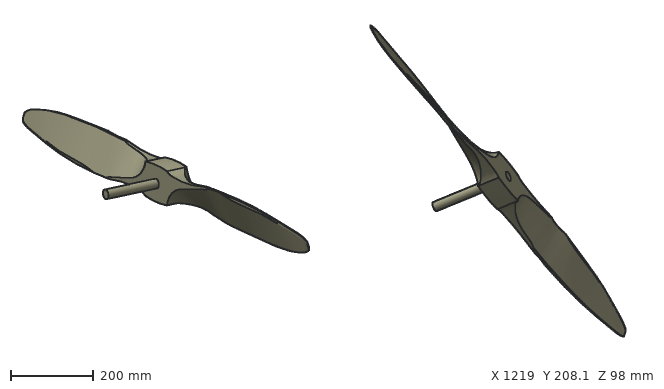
import cadquery as cq

span = 1219.0
hub_depth = 59.0
half_hub_depth = hub_depth / 2
shaft_reach = 149.0
shaft_diameter = 24.0

hub_half_width = 46.0
hub_side_height = 44.0
hub_crown_height = 48.0

tip = span / 2
twist_end = 204.0
wedge_reach = 49.0

root_station = (hub_half_width, hub_side_height, -hub_side_height, half_hub_depth,
                hub_depth, 2 * hub_side_height)
twist_station = (twist_end, 45.0, -45.0, 25.0, 7.0, 5.0)
inner_stations = [
    root_station,
    (61.0, 38.0, -38.0, half_hub_depth, 45.0, 48.0),
    (80.0, 35.0, -35.0, half_hub_depth, 34.0, 28.0),
    (110.0, 34.0, -34.0, half_hub_depth, 22.0, 16.0),
    (152.0, 37.0, -37.0, 28.0, 13.0, 9.0),
    twist_station,
]
outer_stations = [
    twist_station,
    (317.0, 49.0, -48.0, 23.0, 7.0, 5.0),
    (390.0, 48.0, -45.0, 20.0, 6.0, 5.0),
    (488.0, 44.0, -35.0, 13.0, 4.0, 4.0),
    (561.0, 32.0, -24.0, 7.0, 3.0, 3.0),
    (597.0, 20.0, -16.0, 5.0, 2.0, 2.0),
    (tip, 11.0, -10.0, 4.0, 2.0, 2.0),
]


def box_stretch(stations):
    """Uncut blade stretch: its front outline crossed with its outline from above."""
    top_edge = [(-distance, top) for distance, top, *_ in stations]
    bottom_edge = [(-distance, bottom) for distance, _, bottom, *_ in reversed(stations)]
    back_edge = [(-station[0], station[3]) for station in stations]
    front_edge = [(-station[0], -station[3]) for station in reversed(stations)]

    def outline(plane, start, first_edge, second_edge):
        return (
            cq.Workplane(plane, origin=start)
            .moveTo(*first_edge[0])
            .spline(first_edge[1:], includeCurrent=True)
            .lineTo(*second_edge[0])
            .spline(second_edge[1:], includeCurrent=True)
            .close()
        )

    front_prism = outline("XZ", (0, hub_depth, 0), top_edge, bottom_edge).extrude(2 * hub_depth)
    plan_start = (0, 0, -2 * hub_crown_height)
    plan_prism = outline("XY", plan_start, back_edge, front_edge).extrude(4 * hub_crown_height)
    return front_prism.intersect(plan_prism)


def corner_cutter(stations, side):
    """Wedge outside the blade face: side -1 is front and top, +1 is back and bottom."""
    sections = []
    for distance, top, bottom, half_depth, top_width, front_height in stations:
        near_z, far_z = (top, bottom) if side < 0 else (bottom, top)
        face_y = side * half_depth

        near_end = cq.Vector(-distance, -side * (half_depth - top_width), near_z)
        far_end = cq.Vector(-distance, face_y, far_z - side * front_height)

        diagonal = cq.Vector(0, -side * 2 * half_depth, -side * (top - bottom)).normalized()
        beyond_far = far_end - diagonal * wedge_reach
        outside = cq.Vector(-distance, face_y + side * wedge_reach, near_z - side * wedge_reach)
        corners = [beyond_far, near_end + diagonal * wedge_reach, outside]
        sections.append(cq.Wire.makePolygon(corners, close=True))
    return cq.Workplane(cq.Solid.makeLoft(sections))


def blade_stretch(stations):
    stretch = box_stretch(stations)
    for side in (-1, 1):
        stretch = stretch.cut(corner_cutter(stations, side))
    return stretch


def make_hub():
    return (
        cq.Workplane("XZ", origin=(0, half_hub_depth, 0))
        .moveTo(-hub_half_width, hub_side_height)
        .threePointArc((0, hub_crown_height), (hub_half_width, hub_side_height))
        .lineTo(hub_half_width, -hub_side_height)
        .threePointArc((0, -hub_crown_height), (-hub_half_width, -hub_side_height))
        .close()
        .extrude(hub_depth)
    )


def make_shaft():
    return (
        cq.Workplane("XZ", origin=(0, half_hub_depth, 0))
        .circle(shaft_diameter / 2)
        .extrude(hub_depth + shaft_reach)
    )


def make_propeller():
    blade = blade_stretch(inner_stations).union(blade_stretch(outer_stations))
    opposite_blade = blade.rotate((0, 0, 0), (0, 1, 0), 180)
    return make_hub().union(blade).union(opposite_blade).cut(make_shaft())


propeller = make_propeller()
shaft = make_shaft()

result = cq.Compound.makeCompound([*propeller.vals(), shaft.val()])